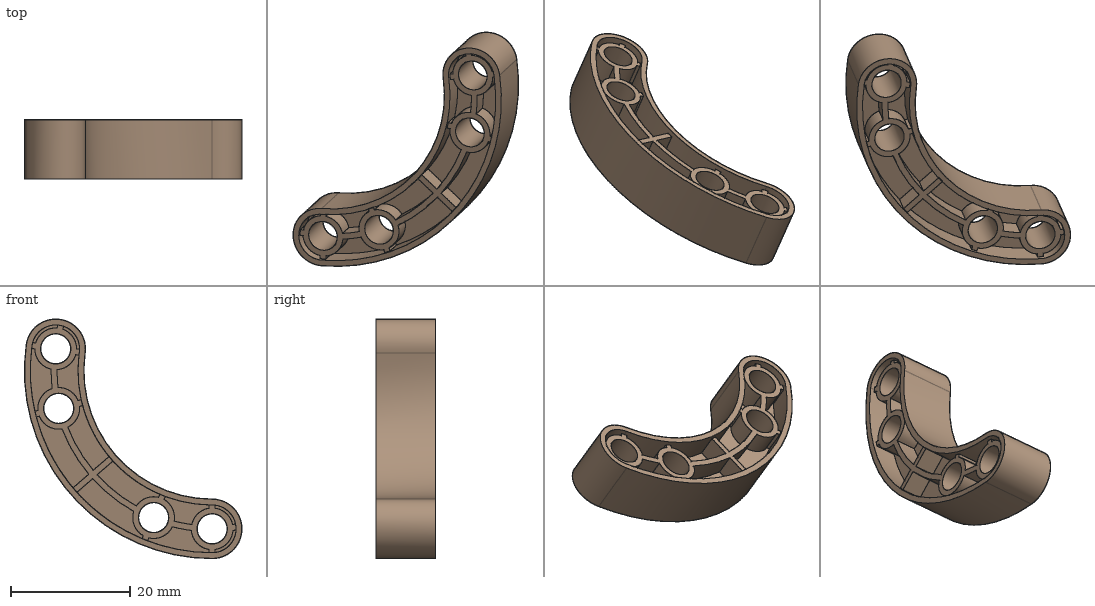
import cadquery as cq
import math

THICKNESS = 10.0
WIDTH = 10.0
ARC_RADIUS = 26.5
HOLE_DIAMETER = 5.0
HOLE_PITCH = 10.0
END_HOLE_SPAN = 40.0
WALL = 1.0
BOSS_WALL = 1.0
RIB = 1.0
WEB = 1.0
RECESS = 0.8

BOSS_RADIUS = HOLE_DIAMETER / 2 + BOSS_WALL
POCKET_WIDTH = WIDTH - 2 * WALL
RIBBING_THICKNESS = THICKNESS - 2 * RECESS
CROSS_RIB_LENGTH = WIDTH - WALL


def chord_angle(chord):
    """Angle in degrees that a chord of the centreline spans."""
    return math.degrees(2 * math.asin(chord / (2 * ARC_RADIUS)))


LOWER_END = -90.0
UPPER_END = LOWER_END - chord_angle(END_HOLE_SPAN)
MIDDLE = (LOWER_END + UPPER_END) / 2
PITCH_ANGLE = chord_angle(HOLE_PITCH)
HOLE_ANGLES = [UPPER_END, UPPER_END + PITCH_ANGLE, LOWER_END - PITCH_ANGLE, LOWER_END]


def arc_point(angle, radius=ARC_RADIUS):
    """XZ position at an angle around the arc centre."""
    a = math.radians(angle)
    return (radius * math.cos(a), radius * math.sin(a))


def back_plane():
    """Sketch plane on the +Y face, with extrusion running towards -Y."""
    return cq.Workplane("XZ", origin=(0, THICKNESS / 2, 0))


def curved_slot(width):
    """Full-thickness banana shape of the given width, rounded about the end holes."""
    outer = ARC_RADIUS + width / 2
    inner = ARC_RADIUS - width / 2
    upper_x, upper_z = arc_point(UPPER_END)
    cap_x, cap_z = arc_point(UPPER_END - 90, width / 2)
    upper_cap_middle = (upper_x + cap_x, upper_z + cap_z)
    lower_cap_middle = (width / 2, -ARC_RADIUS)
    return (
        back_plane()
        .moveTo(*arc_point(UPPER_END, outer))
        .threePointArc(arc_point(MIDDLE, outer), arc_point(LOWER_END, outer))
        .threePointArc(lower_cap_middle, arc_point(LOWER_END, inner))
        .threePointArc(arc_point(MIDDLE, inner), arc_point(UPPER_END, inner))
        .threePointArc(upper_cap_middle, arc_point(UPPER_END, outer))
        .close()
        .extrude(THICKNESS)
    )


def cross_rib(angle):
    """Radial full-thickness rib across the beam, reaching into the rim on both sides."""
    return (
        back_plane()
        .center(*arc_point(angle))
        .transformed(rotate=(0, 0, angle))
        .rect(CROSS_RIB_LENGTH, RIB)
        .extrude(THICKNESS)
    )


def centreline_ring():
    """Ring along the beam's centreline, running past the end bosses into the rim."""
    return (
        back_plane()
        .circle(ARC_RADIUS + RIB / 2)
        .circle(ARC_RADIUS - RIB / 2)
        .extrude(THICKNESS)
    )


def cylinders_at_holes(radius):
    """One full-thickness cylinder about every hole axis."""
    return back_plane().pushPoints([arc_point(a) for a in HOLE_ANGLES]).circle(radius).extrude(THICKNESS)


def ribbing():
    """Bosses, the centreline rib that joins them, and the ribs across each boss and the middle."""
    ribs = cylinders_at_holes(BOSS_RADIUS).union(centreline_ring())
    for angle in HOLE_ANGLES + [MIDDLE]:
        ribs = ribs.union(cross_rib(angle))
    return ribs


def layer(thickness):
    """Slab about mid thickness, wide enough to cover the whole part."""
    cover = 4 * ARC_RADIUS
    return cq.Workplane("XY").box(cover, thickness, cover)


def pockets():
    """Hollow inside the rim on both faces, leaving the middle web and the recessed ribbing."""
    kept = ribbing().intersect(layer(RIBBING_THICKNESS))
    return curved_slot(POCKET_WIDTH).cut(layer(WEB)).cut(kept)


result = curved_slot(WIDTH).cut(pockets()).cut(cylinders_at_holes(HOLE_DIAMETER / 2))